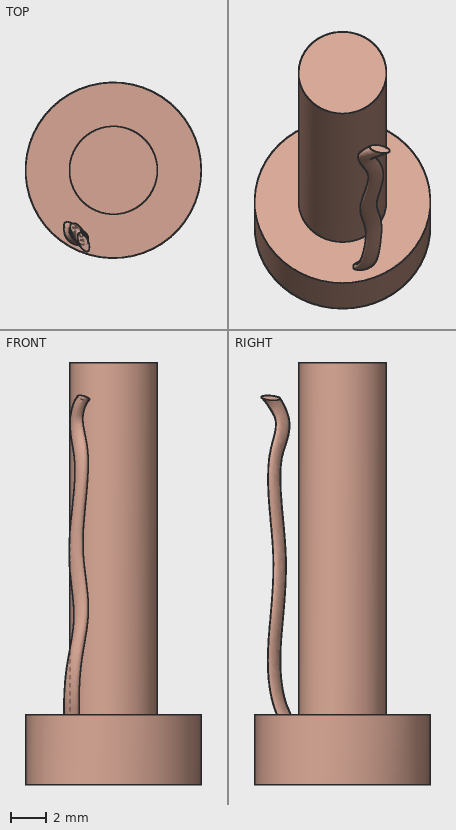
import cadquery as cq

base_diameter = 10.0
base_height = 4.0
post_diameter = 5.0
post_height = 20.0

wire_major_radius = 0.58
wire_minor_radius = 0.3
wire_section_angle = -49.0

wire_path_points = [
    (-2.30, -2.70, -1.0),
    (-2.37, -3.33, 0.0),
    (-2.24, -3.88, 2.8),
    (-1.84, -3.73, 5.6),
    (-2.11, -3.58, 8.9),
    (-1.85, -3.87, 13.1),
    (-1.87, -3.72, 15.0),
    (-2.10, -3.45, 16.7),
    (-2.00, -3.70, 17.4),
    (-1.70, -4.08, 18.0),
]

guide_offset = cq.Vector(5.0, 0.0, 0.0)
guide_tip_offset = cq.Vector(4.0, -1.5, -1.5)


def make_base():
    return cq.Workplane("XY").circle(base_diameter / 2).extrude(base_height)


def make_post():
    top_of_base = cq.Workplane("XY").workplane(offset=base_height)
    return top_of_base.circle(post_diameter / 2).extrude(post_height)


def make_wire():
    """Sweep the elliptical section along a smooth curve through the bends."""
    points = [cq.Vector(x, y, base_height + height) for x, y, height in wire_path_points]
    path = cq.Workplane("XY").spline(points)

    guide_points = [point + guide_offset for point in points[:-1]]
    guide_points.append(points[-1] + guide_tip_offset)
    guide = cq.Workplane("XY").spline(guide_points)

    section = cq.Workplane("XY", origin=points[0].toTuple()).ellipse(
        wire_major_radius, wire_minor_radius, rotation_angle=wire_section_angle
    )
    return section.sweep(path, auxSpine=guide)


result = make_base().union(make_post()).union(make_wire())